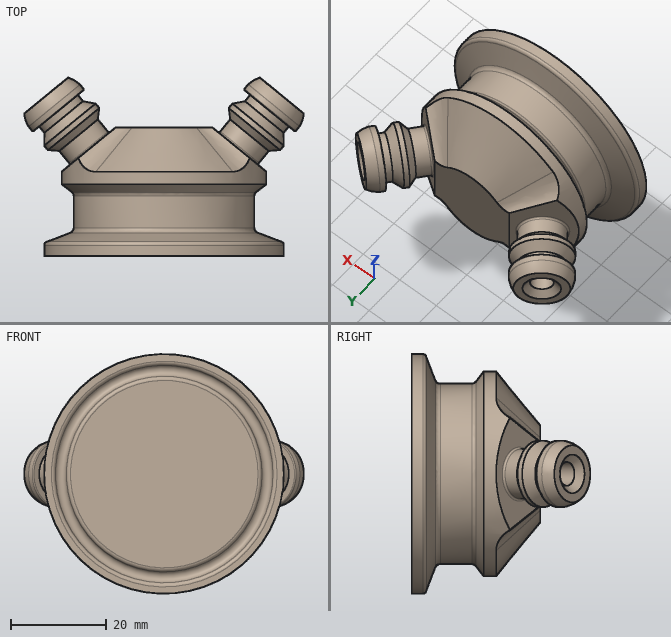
import cadquery as cq
import math

flange_radius = 50.4 / 2
flange_rim_end = 2.35
flange_taper_start_radius = 24.5
flange_taper_start = 3.1
neck_radius = 19.0
neck_start = 5.25
neck_end = 13.15
neck_front_fillet = 1.05
neck_back_fillet = 1.0
edge_search_margin = 0.05
body_radius = 21.5
body_start = 15.1
body_end = 17.75
top_radius = 10.15
top_y = 27.05

groove_radius = 21.7
groove_depth = 1.6
groove_root_round = 1.2
groove_lip_round = 0.9

pad_edge = 0.66
pad_blend_angle = math.radians(48)

nozzle_tilt = math.atan2(top_y - body_end, body_radius - top_radius)
nozzle_end_x = 24.75
nozzle_end_y = 33.75
nozzle_radius = 10.5 / 2
barb_radius = 14.0 / 2
nozzle_tip_radius = 6.0
tip_round_end = 2.65
tip_rim_end = 3.9
tip_back_round = 0.25
barb_start = 5.8
barb_crest_start = 7.9
barb_crest_end = 9.1
barb_end = 10.75
nozzle_root_fillet = 0.4
nozzle_embed = 1.75
bore_radius = 5.0 / 2
bore_mouth_radius = 4.05
bore_mouth_depth = 1.45

axis_x = math.sin(nozzle_tilt)
axis_y = math.cos(nozzle_tilt)
nozzle_length = (nozzle_end_x - body_radius) * axis_x + (nozzle_end_y - body_end) * axis_y


def revolve_about_y(profile):
    return profile.close().revolve(360, (0, 0, 0), (0, 1, 0))


def make_body():
    profile = (
        cq.Workplane("XY")
        .lineTo(flange_radius, 0)
        .lineTo(flange_radius, flange_rim_end)
        .tangentArcPoint((flange_taper_start_radius, flange_taper_start), relative=False)
        .lineTo(neck_radius, neck_start)
        .lineTo(neck_radius, neck_end)
        .lineTo(body_radius, body_start)
        .lineTo(body_radius, body_end)
        .lineTo(top_radius, top_y)
        .lineTo(0, top_y)
    )
    body = revolve_about_y(profile)
    for y, fillet in ((neck_start, neck_front_fillet), (neck_end, neck_back_fillet)):
        ring = cq.selectors.BoxSelector(
            (-body_radius, y - edge_search_margin, -body_radius),
            (body_radius, y + edge_search_margin, body_radius),
            boundingbox=True,
        )
        body = body.edges(ring).fillet(fillet)
    return body


def make_groove():
    """Rounded ring groove whose root and lips are tangent arcs."""
    round_sum = groove_root_round + groove_lip_round
    turn = math.acos(1 - groove_depth / round_sum)
    reach = round_sum * math.sin(turn)
    lip_width = groove_lip_round * math.sin(turn)
    lip_depth = groove_lip_round * (1 - math.cos(turn))
    profile = (
        cq.Workplane("XY")
        .moveTo(groove_radius - reach, 0)
        .threePointArc(
            (
                groove_radius - reach + groove_lip_round * math.sin(turn / 2),
                groove_lip_round * (1 - math.cos(turn / 2)),
            ),
            (groove_radius - reach + lip_width, lip_depth),
        )
        .threePointArc(
            (groove_radius, groove_depth), (groove_radius + reach - lip_width, lip_depth)
        )
        .tangentArcPoint((groove_radius + reach, 0), relative=False)
    )
    return revolve_about_y(profile)


def pad_section(y, radius):
    """Closed pad outline at one height; the pad scales with the cone radius."""

    def place(x, z):
        return cq.Vector(x * radius, y, z * radius)

    blend_x = math.cos(pad_blend_angle)
    blend_z = math.sin(pad_blend_angle)
    corners = [place(blend_x, -blend_z), place(1, -pad_edge), place(1, pad_edge), place(blend_x, blend_z)]
    edges = [
        cq.Edge.makeTangentArc(corners[0], cq.Vector(blend_z, 0, blend_x), corners[1]),
        cq.Edge.makeLine(corners[1], corners[2]),
        cq.Edge.makeTangentArc(corners[3], cq.Vector(blend_z, 0, -blend_x), corners[2]),
        cq.Edge.makeLine(corners[3], corners[0]),
    ]
    return cq.Wire.assembleEdges(edges)


def make_pad():
    sections = [pad_section(body_end, body_radius), pad_section(top_y, top_radius)]
    wedge = cq.Workplane(cq.Solid.makeLoft(sections, True))
    limit = cq.Workplane("XZ").circle(body_radius).extrude(-top_y)
    return wedge.intersect(limit)


def aim_at_nozzle(solid):
    """Move a solid built along -Y from the origin onto the right-hand nozzle axis."""
    tilted = solid.rotate((0, 0, 0), (0, 0, 1), -math.degrees(nozzle_tilt))
    return tilted.translate((nozzle_end_x, nozzle_end_y, 0))


def make_nozzle():
    root_radius = nozzle_radius + nozzle_root_fillet
    profile = (
        cq.Workplane("XY")
        .lineTo(nozzle_tip_radius, 0)
        .threePointArc(
            ((nozzle_tip_radius + 2 * barb_radius) / 3, -tip_round_end / 2), (barb_radius, -tip_round_end)
        )
        .lineTo(barb_radius, -tip_rim_end)
        .tangentArcPoint((barb_radius - tip_back_round, -tip_rim_end - tip_back_round), relative=False)
        .lineTo(nozzle_radius, -tip_rim_end - tip_back_round)
        .lineTo(nozzle_radius, -barb_start)
        .lineTo(barb_radius, -barb_crest_start)
        .lineTo(barb_radius, -barb_crest_end)
        .lineTo(nozzle_radius, -barb_end)
        .lineTo(nozzle_radius, nozzle_root_fillet - nozzle_length)
        .tangentArcPoint((root_radius, -nozzle_length), relative=False)
        .lineTo(root_radius, -nozzle_length - nozzle_embed)
        .lineTo(0, -nozzle_length - nozzle_embed)
    )
    return aim_at_nozzle(revolve_about_y(profile))


def make_bore():
    profile = (
        cq.Workplane("XY")
        .lineTo(bore_mouth_radius, 0)
        .lineTo(bore_radius, -bore_mouth_depth)
        .lineTo(bore_radius, -nozzle_length)
        .lineTo(0, -nozzle_length)
    )
    return aim_at_nozzle(revolve_about_y(profile))


def add_both_sides(body, solid):
    return body.union(solid).union(solid.mirror("YZ"))


result = make_body().cut(make_groove())
result = add_both_sides(result, make_pad())
result = add_both_sides(result, make_nozzle())
bore = make_bore()
result = result.cut(bore).cut(bore.mirror("YZ"))